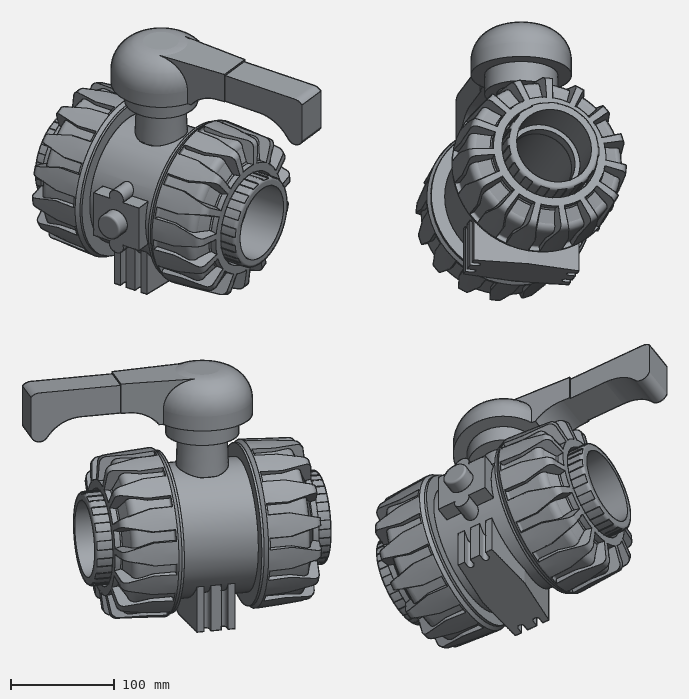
import cadquery as cq
import math


BORE_RADIUS = 32.5

BARREL_RADIUS = 65.95
BARREL_HALF_LENGTH = 38.5
SPIGOT_RADIUS = 63.8
SPIGOT_END = 64.3
STEM_BASE_RADIUS = 25.5
STEM_TOP_RADIUS = 24.0
STEM_BASE_Z = 61.5
STEM_TOP_Z = 98.5

PAD_WIDTH = 53.0
PAD_HEIGHT = 47.5
PAD_FACE_Y = -77.2
LOBE_RADIUS = 8.2
LOBE_OFFSET_Z = 26.3
STUD_RADIUS = 13.0
STUD_END_Y = -90.7
STUD_EDGE_FILLET = 2.0

FOOT_BOTTOM_Z = -86.5
FOOT_HALF_DEPTH = 52.5
FOOT_MIDDLE_HALF_WIDTH = 23.7
FOOT_FACE_HALF_WIDTH = 19.0
FOOT_SLOT_WIDTH = 6.7
FOOT_SLOT_OFFSET = 8.63
FOOT_SLOT_DEPTH = 9.5

NUT_BORE_RADIUS = 47.82
NUT_HUB_RADIUS = 56.3
NUT_CORE_RADIUS = 77.2
NUT_RIM_RADIUS = 82.04
NUT_LIP_RADIUS = 79.3
NUT_END = 101.8
NUT_CORE_EDGE = 81.5
NUT_CONE_START = 89.2
NUT_CONE_START_RADIUS = 70.2
NUT_CONE_END = 94.5
NUT_CONE_END_RADIUS = 57.5
NUT_HUB_START = 96.0
NUT_RIM_FILLET = 1.8
NUT_RIM_OUTER = 46.5
NUT_RIM_INNER = 44.7
NUT_LIP_START = 41.0
NUT_CAVITY_END = 77.2

RIB_COUNT = 15
RIB_END = 99.7
RIB_END_RADIUS = 79.3
RIB_END_FILLET = 7.0
RIB_WIDE_HALF_WIDTH = 11.5
RIB_TIP_HALF_WIDTH = 3.07
RIB_WIDE_END = 68.7

CONNECTOR_END = 117.3
CONNECTOR_RADIUS = 45.77
CONNECTOR_FILLET = 3.2
SOCKET_RADIUS = 37.5
SOCKET_DEPTH = 41.0
SPLINE_COUNT = 16
SPLINE_FLOOR_RADIUS = 44.7

COLLAR_RADIUS = 35.5
DOME_RADIUS = 48.5
DOME_BASE_Z = 118.5
DOME_TOP_Z = 164.5
DOME_FILLET = 31.3
LEVER_END_X = 175.2
LEVER_STEP_X = 85.7
LEVER_INNER_TOP_Z = 163.2
LEVER_OUTER_TOP_Z = 161.5
LEVER_UNDERSIDE_Z = 132.8
LEVER_ROOT_X = 10.0
LEVER_ROOT_HALF_WIDTH = 22.2
LEVER_STEP_HALF_WIDTH = 17.5
GRIP_HALF_WIDTH = 16.5
ARCH_START_X = 48.3
ARCH_END_X = 77.8
CORNER_START_X = 166.0
CORNER_END_Z = 157.5
CORNER_RADIUS = 11.5
HOOK_START_X = 125.2
HOOK_END_X = 157.0
HOOK_END_Z = 117.3
HOOK_RADIUS = 40.7
TIP_INNER_X = 159.0
TIP_INNER_Z = 114.5
TIP_LOWEST_X = 165.5
TIP_LOWEST_Z = 110.8
TIP_OUTER_Z = 117.5


def x_cylinder(radius, start, end):
    """Cylinder about the X axis between two X positions."""
    return cq.Workplane("YZ").workplane(offset=start).circle(radius).extrude(end - start)


def revolve_about_x(profile):
    """Full revolution of a closed profile in the XZ plane about the X axis."""
    return profile.revolve(360, (0, 0, 0), (1, 0, 0))


def mirrored_to_left(part):
    """Copy of a right-hand part on the -X side."""
    return part.mirror("YZ")


def make_front_pad():
    depth = -PAD_FACE_Y
    pad = cq.Workplane("XZ").rect(PAD_WIDTH, PAD_HEIGHT).extrude(depth)
    lobes = (
        cq.Workplane("XZ")
        .pushPoints([(0, LOBE_OFFSET_Z), (0, -LOBE_OFFSET_Z)])
        .circle(LOBE_RADIUS)
        .extrude(depth)
    )
    stud = cq.Workplane("XZ").circle(STUD_RADIUS).extrude(-STUD_END_Y)
    stud = stud.faces("<Y").edges().fillet(STUD_EDGE_FILLET)
    return pad.union(lobes).union(stud)


def make_foot():
    """Hexagonal foot, widest at the middle, with two upright slots in each end face."""
    half_outline = [
        (FOOT_FACE_HALF_WIDTH, -FOOT_HALF_DEPTH),
        (FOOT_MIDDLE_HALF_WIDTH, 0),
        (FOOT_FACE_HALF_WIDTH, FOOT_HALF_DEPTH),
    ]
    outline = half_outline + [(-x, -y) for x, y in half_outline]
    height = -FOOT_BOTTOM_Z
    base = cq.Workplane("XY").workplane(offset=FOOT_BOTTOM_Z)
    foot = base.polyline(outline).close().extrude(height)
    slot_centres = [(x, y) for x in (-FOOT_SLOT_OFFSET, FOOT_SLOT_OFFSET)
                    for y in (-FOOT_HALF_DEPTH, FOOT_HALF_DEPTH)]
    slots = base.pushPoints(slot_centres).slot2D(2 * FOOT_SLOT_DEPTH, FOOT_SLOT_WIDTH, 90).extrude(height)
    return foot.cut(slots)


def make_stem():
    return (
        cq.Workplane("XY")
        .circle(STEM_BASE_RADIUS)
        .workplane(offset=STEM_TOP_Z - STEM_BASE_Z)
        .circle(STEM_TOP_RADIUS)
        .loft()
        .translate((0, 0, STEM_BASE_Z))
    )


def make_valve_body():
    body = x_cylinder(BARREL_RADIUS, -BARREL_HALF_LENGTH, BARREL_HALF_LENGTH)
    body = body.union(x_cylinder(SPIGOT_RADIUS, -SPIGOT_END, SPIGOT_END))
    body = body.union(make_stem()).union(make_front_pad()).union(make_foot())
    return body.cut(x_cylinder(BORE_RADIUS, -SPIGOT_END, SPIGOT_END))


def make_nut_core():
    """Turned core: hub, cone, rounded cylinder, rim and lip."""
    return revolve_about_x(
        cq.Workplane("XZ")
        .moveTo(BARREL_HALF_LENGTH, 0)
        .lineTo(BARREL_HALF_LENGTH, NUT_LIP_RADIUS)
        .lineTo(NUT_LIP_START, NUT_LIP_RADIUS)
        .lineTo(NUT_RIM_INNER, NUT_RIM_RADIUS)
        .lineTo(NUT_RIM_OUTER, NUT_RIM_RADIUS)
        .lineTo(NUT_RIM_OUTER, NUT_CORE_RADIUS + NUT_RIM_FILLET)
        .radiusArc((NUT_RIM_OUTER + NUT_RIM_FILLET, NUT_CORE_RADIUS), -NUT_RIM_FILLET)
        .lineTo(NUT_CORE_EDGE, NUT_CORE_RADIUS)
        .tangentArcPoint((NUT_CONE_START, NUT_CONE_START_RADIUS), relative=False)
        .lineTo(NUT_CONE_END, NUT_CONE_END_RADIUS)
        .lineTo(NUT_HUB_START, NUT_HUB_RADIUS)
        .lineTo(NUT_END, NUT_HUB_RADIUS)
        .lineTo(NUT_END, 0)
        .close()
    )


def make_rib_envelope():
    """Turned shape that limits the ribs: tapered outside with a rounded end."""
    return revolve_about_x(
        cq.Workplane("XZ")
        .moveTo(NUT_RIM_INNER, 0)
        .lineTo(NUT_RIM_INNER, NUT_RIM_RADIUS)
        .lineTo(NUT_RIM_OUTER, NUT_RIM_RADIUS)
        .lineTo(RIB_END - RIB_END_FILLET, RIB_END_RADIUS)
        .radiusArc((RIB_END, RIB_END_RADIUS - RIB_END_FILLET), RIB_END_FILLET)
        .lineTo(NUT_END, NUT_HUB_RADIUS)
        .lineTo(NUT_END, 0)
        .close()
    )


def make_rib():
    """One rib on top of the nut: wide at the rim, narrowing to its tip."""
    half_outline = [
        (NUT_RIM_INNER, RIB_WIDE_HALF_WIDTH),
        (RIB_WIDE_END, RIB_WIDE_HALF_WIDTH),
        (NUT_END, RIB_TIP_HALF_WIDTH),
    ]
    outline = half_outline + [(x, -y) for x, y in reversed(half_outline)]
    blank = (
        cq.Workplane("XY")
        .workplane(offset=NUT_BORE_RADIUS)
        .polyline(outline)
        .close()
        .extrude(NUT_RIM_RADIUS - NUT_BORE_RADIUS)
    )
    return blank.intersect(make_rib_envelope())


def make_nut():
    """Right-hand union nut."""
    nut = make_nut_core()
    rib = make_rib()
    for index in range(RIB_COUNT):
        nut = nut.union(rib.rotate((0, 0, 0), (1, 0, 0), index * 360 / RIB_COUNT))
    cavity = x_cylinder(SPIGOT_RADIUS, BARREL_HALF_LENGTH, NUT_CAVITY_END)
    return nut.cut(cavity).cut(x_cylinder(NUT_BORE_RADIUS, NUT_CAVITY_END, NUT_END))


def make_spline_cutter():
    """Ring of alternate sectors that leaves raised splines, one of them facing -Y."""
    sector_angle = math.pi / SPLINE_COUNT
    reach = CONNECTOR_RADIUS / math.cos(sector_angle / 2)
    corner_y = reach * math.cos(sector_angle / 2)
    corner_z = reach * math.sin(sector_angle / 2)
    sector = (
        cq.Workplane("YZ")
        .workplane(offset=NUT_CAVITY_END)
        .polyline([(0, 0), (corner_y, corner_z), (corner_y, -corner_z)])
        .close()
        .extrude(CONNECTOR_END - NUT_CAVITY_END)
        .cut(x_cylinder(SPLINE_FLOOR_RADIUS, NUT_CAVITY_END, CONNECTOR_END))
    )
    pitch = 360 / SPLINE_COUNT
    grooves = [
        sector.val().rotate(cq.Vector(0, 0, 0), cq.Vector(1, 0, 0), (index + 0.5) * pitch)
        for index in range(SPLINE_COUNT)
    ]
    return cq.Workplane(cq.Compound.makeCompound(grooves))


def make_connector():
    """Right-hand socket connector, held by a flange inside the nut."""
    tube = x_cylinder(CONNECTOR_RADIUS, SPIGOT_END, CONNECTOR_END)
    tube = tube.faces(">X").edges().fillet(CONNECTOR_FILLET)
    connector = tube.cut(make_spline_cutter())
    connector = connector.union(x_cylinder(SPIGOT_RADIUS, SPIGOT_END, NUT_CAVITY_END))
    connector = connector.cut(x_cylinder(BORE_RADIUS, SPIGOT_END, CONNECTOR_END))
    return connector.cut(x_cylinder(SOCKET_RADIUS, CONNECTOR_END - SOCKET_DEPTH, CONNECTOR_END))


def make_dome():
    collar = cq.Workplane("XY").workplane(offset=STEM_TOP_Z).circle(COLLAR_RADIUS)
    collar = collar.extrude(DOME_BASE_Z - STEM_TOP_Z)
    dome = cq.Workplane("XY").workplane(offset=DOME_BASE_Z).circle(DOME_RADIUS)
    dome = dome.extrude(DOME_TOP_Z - DOME_BASE_Z).faces(">Z").edges().fillet(DOME_FILLET)
    return collar.union(dome)


def make_lever_arm():
    """Tapered arm from the dome to the grip, with an arch under its outer part."""
    rise = LEVER_UNDERSIDE_Z - DOME_BASE_Z
    run = ARCH_END_X - ARCH_START_X
    arch_radius = (rise**2 + run**2) / (2 * rise)
    side = (
        cq.Workplane("XZ")
        .moveTo(LEVER_ROOT_X, LEVER_INNER_TOP_Z)
        .lineTo(LEVER_ROOT_X, DOME_BASE_Z)
        .lineTo(ARCH_START_X, DOME_BASE_Z)
        .radiusArc((ARCH_END_X, LEVER_UNDERSIDE_Z), arch_radius)
        .lineTo(LEVER_STEP_X, LEVER_UNDERSIDE_Z)
        .lineTo(LEVER_STEP_X, LEVER_INNER_TOP_Z)
        .close()
        .extrude(LEVER_ROOT_HALF_WIDTH, both=True)
    )
    plan = (
        cq.Workplane("XY")
        .polyline([
            (LEVER_ROOT_X, LEVER_ROOT_HALF_WIDTH),
            (LEVER_STEP_X, LEVER_STEP_HALF_WIDTH),
            (LEVER_STEP_X, -LEVER_STEP_HALF_WIDTH),
            (LEVER_ROOT_X, -LEVER_ROOT_HALF_WIDTH),
        ])
        .close()
        .extrude(DOME_TOP_Z)
    )
    return side.intersect(plan)


def make_grip():
    """Straight grip with a rounded top corner and a hooked, rounded tip below."""
    return (
        cq.Workplane("XZ")
        .moveTo(LEVER_STEP_X, LEVER_OUTER_TOP_Z)
        .lineTo(CORNER_START_X, LEVER_OUTER_TOP_Z)
        .radiusArc((LEVER_END_X, CORNER_END_Z), CORNER_RADIUS)
        .lineTo(LEVER_END_X, TIP_OUTER_Z)
        .threePointArc((TIP_LOWEST_X, TIP_LOWEST_Z), (TIP_INNER_X, TIP_INNER_Z))
        .lineTo(HOOK_END_X, HOOK_END_Z)
        .radiusArc((HOOK_START_X, LEVER_UNDERSIDE_Z), -HOOK_RADIUS)
        .lineTo(LEVER_STEP_X, LEVER_UNDERSIDE_Z)
        .close()
        .extrude(GRIP_HALF_WIDTH, both=True)
    )


def make_handle():
    return make_dome().union(make_lever_arm()).union(make_grip())


valve_body = make_valve_body()
left_nut = mirrored_to_left(make_nut())
nuts = [left_nut, left_nut.rotate((0, 0, 0), (0, 1, 0), 180)]
right_connector = make_connector()
connectors = [right_connector, mirrored_to_left(right_connector)]
handle = make_handle()

result = cq.Compound.makeCompound([
    valve_body.val(),
    *[nut.val() for nut in nuts],
    *[connector.val() for connector in connectors],
    handle.val(),
])